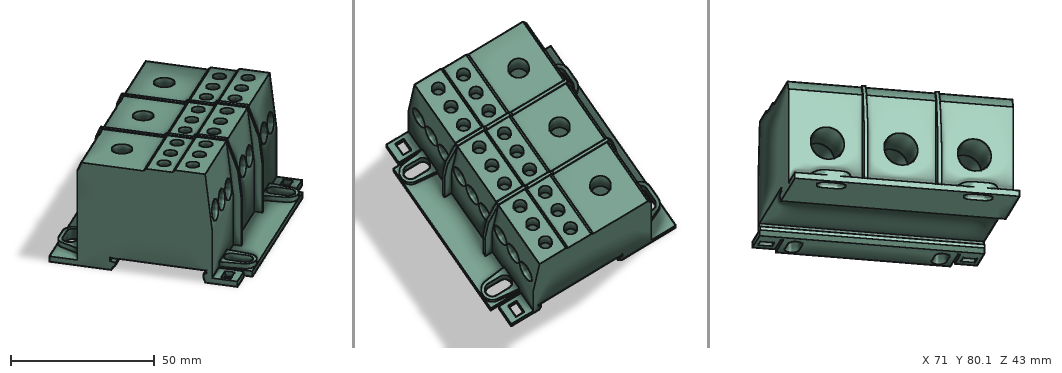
import cadquery as cq
import math

total_x = 71.0
total_y = 80.1
total_z = 43.0
module_count = 3
module_pitch = 26.2

body_left = 10.1
body_right = 58.95
draft_start_z = 21.2
shoulder_z = 37.2
deck_z = 40.5
deck_rise = 1.0
middle_deck_z = deck_z + deck_rise
upper_deck_z = deck_z + 2 * deck_rise
top_right_x = 56.5

plate_z = 2.2
pad_z = 4.1
tab_right = 68.2
tab_inner_y = 32.0
tongue_half_y = 31.15
window_left = 61.8
window_right = 65.3
window_y = 36.1
window_length = 5.0

channel_z = 4.7

slot_width = 5.2
slot_length = 10.3
slot_offset = (slot_length - slot_width) / 2
pad_radius = 3.9
left_slot_x = pad_radius + 0.2
right_slot_x = total_x - pad_radius - slot_offset
left_pad_taper = 24.0
right_pad_taper = 6.5

fin_width = 1.3
fin_left = 6.9
fin_right = 61.8
fin_bend_z = 20.8
fin_blend = 16.0

cable_diameter = 11.9
cable_z = 18.1
cable_depth = 16.0
drill_tip_angle = 118.0
clamp_diameter = 7.3
clamp_x = 22.3
clamp_depth = 9.6
outlet_pitch = 8.1
outlet_diameter = 7.6
outlet_z = 25.95
outlet_depth = 11.2
screw_diameter = 4.65
screw_depth = 6.4
screw_columns = ((39.9, middle_deck_z), (50.3, upper_deck_z))

module_ys = [(i - (module_count - 1) / 2) * module_pitch for i in range(module_count)]
partition_ys = [(a + b) / 2 for a, b in zip(module_ys, module_ys[1:])]
outlet_ys = [y + i * outlet_pitch for y in module_ys for i in (-1, 0, 1)]
pad_ys = (module_ys[0], module_ys[-1])


def extrude_profile(points, width, y_center=0.0):
    """Extrude an XZ outline symmetrically about the plane Y = y_center."""
    plane = cq.Workplane("XZ", origin=(0, y_center, 0))
    return plane.polyline(points).close().extrude(width / 2, both=True)


def block(x_min, x_max, y_min, y_max, height):
    """Box standing on Z = 0."""
    size = (x_max - x_min, y_max - y_min, height)
    return cq.Workplane("XY").box(*size, centered=False).translate((x_min, y_min, 0))


def housing():
    """Stepped housing, with the solid foot under it."""
    return extrude_profile(
        [
            (body_left, 0),
            (body_left, shoulder_z),
            (11.5, deck_z),
            (34.1, deck_z),
            (35.1, middle_deck_z),
            (44.6, middle_deck_z),
            (45.5, upper_deck_z),
            (top_right_x, upper_deck_z),
            (body_right, draft_start_z),
            (body_right, 0),
        ],
        total_y,
    )


def base_plate():
    """Left flange, right tongue and the two windowed corner tabs."""
    half_y = total_y / 2
    plate = block(0, body_left, -half_y, half_y, plate_z)
    plate = plate.union(block(body_right, total_x, -tongue_half_y, tongue_half_y, plate_z))
    for y_min, y_max in ((-half_y, -tab_inner_y), (tab_inner_y, half_y)):
        plate = plate.union(block(body_right, tab_right, y_min, y_max, plate_z))
    windows = (
        cq.Workplane("XY")
        .pushPoints([((window_left + window_right) / 2, side * window_y) for side in (-1, 1)])
        .rect(window_right - window_left, window_length)
        .extrude(plate_z)
    )
    return plate.cut(windows)


def rail_channel():
    """Channel along Y under the housing, with a hooked lip on each side."""
    return extrude_profile(
        [
            (22.35, 0),
            (23.95, 2.1),
            (23.95, 3.05),
            (21.95, 3.45),
            (21.95, channel_z),
            (56.9, channel_z),
            (56.9, 3.7),
            (55.8, 3.2),
            (55.8, 1.9),
            (56.5, 0),
        ],
        total_y,
    )


def partition_fin(y):
    """Thin fin standing proud of the housing between two modules."""
    fin = extrude_profile(
        [
            (fin_left, plate_z),
            (fin_left, fin_bend_z),
            (7.9, 29.8),
            (9.1, shoulder_z),
            (10.65, 40.85),
            (33.5, 40.85),
            (34.5, 41.8),
            (44.05, 41.8),
            (45.1, total_z),
            (top_right_x, total_z),
            (top_right_x, upper_deck_z),
            (60.55, 31.4),
            (fin_right, fin_bend_z),
            (fin_right, plate_z),
        ],
        fin_width,
        y,
    )
    for x in (fin_left, fin_right):
        bend = cq.selectors.NearestToPointSelector((x, y, fin_bend_z))
        fin = fin.edges(bend).fillet(fin_blend)
    return fin


def tapered_pad(arc_offset, root_distance, taper):
    """Pad reaching out along +X from the origin of its end arc.

    Two arcs centred at Y = +/-arc_offset round the tip; the flanks spread by
    the taper angle back to the root at X = -root_distance.
    """
    slope = math.radians(taper)
    touch_x = pad_radius * math.sin(slope)
    touch_y = arc_offset + pad_radius * math.cos(slope)
    root_y = touch_y + (touch_x + root_distance) * math.tan(slope)
    mid_angle = (math.pi / 2 - slope) / 2
    mid_x = pad_radius * math.cos(mid_angle)
    mid_y = arc_offset + pad_radius * math.sin(mid_angle)
    outline = cq.Workplane("XY").moveTo(-root_distance, -root_y).lineTo(touch_x, -touch_y)
    outline = outline.threePointArc((mid_x, -mid_y), (pad_radius, -arc_offset))
    if arc_offset > 0:
        outline = outline.lineTo(pad_radius, arc_offset)
    outline = outline.threePointArc((mid_x, mid_y), (touch_x, touch_y))
    return outline.lineTo(-root_distance, root_y).close().extrude(pad_z)


def slot(x, y, angle):
    """Upright obround cutter through plate and pad."""
    return cq.Workplane("XY").center(x, y).slot2D(slot_length, slot_width, angle).extrude(pad_z)


def cable_entry(y):
    """Blind round entry from the left wall, ending in a drill tip."""
    radius = cable_diameter / 2
    tip = radius / math.tan(math.radians(drill_tip_angle / 2))
    return (
        cq.Workplane("XY", origin=(body_left, y, cable_z))
        .polyline([(0, 0), (0, radius), (cable_depth, radius), (cable_depth + tip, 0)])
        .close()
        .revolve(360, (0, 0), (1, 0))
    )


def top_hole(x, y, deck, diameter, depth):
    """Blind vertical hole sunk from a deck."""
    return cq.Workplane("XY", origin=(x, y, deck)).circle(diameter / 2).extrude(-depth)


def outlet(y):
    """Blind round outlet entered through the right wall."""
    plane = cq.Workplane("YZ", origin=(body_right, y, outlet_z))
    return plane.circle(outlet_diameter / 2).extrude(-outlet_depth)


result = housing().union(base_plate())

left_arc_x = pad_radius
right_arc_x = total_x - pad_radius
for y in pad_ys:
    left_pad = tapered_pad(slot_offset, body_left - left_arc_x, left_pad_taper)
    left_pad = left_pad.rotate((0, 0, 0), (0, 0, 1), 180).translate((left_arc_x, y, 0))
    right_pad = tapered_pad(0.0, right_arc_x - body_right, right_pad_taper)
    right_pad = right_pad.translate((right_arc_x, y, 0))
    result = result.union(left_pad).union(right_pad)
    result = result.cut(slot(left_slot_x, y, 90)).cut(slot(right_slot_x, y, 0))

for y in partition_ys:
    result = result.union(partition_fin(y))

result = result.cut(rail_channel())

for y in module_ys:
    result = result.cut(cable_entry(y))
    result = result.cut(top_hole(clamp_x, y, deck_z, clamp_diameter, clamp_depth))

for y in outlet_ys:
    result = result.cut(outlet(y))
    for x, deck in screw_columns:
        result = result.cut(top_hole(x, y, deck, screw_diameter, screw_depth))